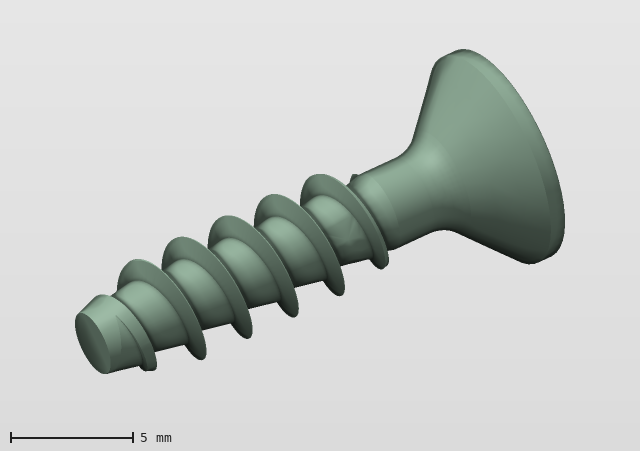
import cadquery as cq
import math


length = 20.0
head_radius = 9.3 / 2
rim_height = 0.72
rim_edge_radius = 0.07
neck_fillet_radius = 2.0
countersink_angle = math.radians(45)

shank_radius = 1.7
shank_end = 6.16
core_radius = 1.39
runout_length = 1.35

pitch = 2.24
first_crest_depth = 6.05
crest_radius = 2.5
crest_width = 0.04
crest_start_radius = 2.0
crest_full_depth = shank_end + 0.9 * pitch
tip_taper_start = 16.75
tip_radius = 1.36
head_flank_angle = math.radians(15)
tip_flank_angle = math.radians(20)
root_radius = 1.65
buried_radius = core_radius - 0.02
trim_radius = crest_radius + 0.2
turn_gap = 0.02


def revolved(outline):
    """Solid of revolution about Z from an open-ended (radius, depth) sketch."""
    return outline.close().revolve(360, (0, 0, 0), (0, 1, 0))


def head_and_shank():
    """Rim, 45 degree cone, neck fillet and plain shank."""
    cone_meets_shank = rim_height + (head_radius - shank_radius) / math.tan(countersink_angle)
    fillet_end = cone_meets_shank + neck_fillet_radius * math.tan(countersink_angle / 2)

    def fillet_point(angle):
        return (
            shank_radius + neck_fillet_radius * (1 - math.cos(angle)),
            fillet_end - neck_fillet_radius * math.sin(angle),
        )

    outline = (
        cq.Workplane("YZ")
        .lineTo(head_radius, 0)
        .lineTo(head_radius, rim_height)
        .lineTo(*fillet_point(countersink_angle))
        .threePointArc(fillet_point(countersink_angle / 2), fillet_point(0))
        .lineTo(shank_radius, shank_end)
        .lineTo(0, shank_end)
    )
    return revolved(outline).faces("<Z").edges().fillet(rim_edge_radius)


def core():
    """Run-out cone below the shank, then a straight core clipped by the tip taper."""
    outline = (
        cq.Workplane("YZ")
        .moveTo(0, shank_end)
        .lineTo(shank_radius, shank_end)
        .lineTo(core_radius, shank_end + runout_length)
        .lineTo(core_radius, length)
        .lineTo(0, length)
    )
    return revolved(outline)


def head_side_trim():
    """Everything above the shank end and outside the cone where the thread grows out."""
    growth = (crest_radius - crest_start_radius) / (crest_full_depth - shank_end)
    outline = (
        cq.Workplane("YZ")
        .lineTo(trim_radius, 0)
        .lineTo(trim_radius, shank_end + (trim_radius - crest_start_radius) / growth)
        .lineTo(crest_start_radius, shank_end)
        .lineTo(0, shank_end)
    )
    return revolved(outline)


def tip_side_trim():
    """Everything below the tip face and outside the cone where the thread fades away."""
    taper = (crest_radius - tip_radius) / (length - tip_taper_start)
    trim_end = length + 2 * pitch
    outline = (
        cq.Workplane("YZ")
        .moveTo(0, length)
        .lineTo(tip_radius, length)
        .lineTo(trim_radius, length - (trim_radius - tip_radius) / taper)
        .lineTo(trim_radius, trim_end)
        .lineTo(0, trim_end)
    )
    return revolved(outline)


def thread_sweep():
    """Ridge and the tapered root behind it, swept along a right-hand helix."""
    start = first_crest_depth - pitch / 2
    turns = math.ceil((length - start) / pitch) + 0.5
    half_crest = crest_width / 2
    head_base = -half_crest - (crest_radius - buried_radius) * math.tan(head_flank_angle)
    root_depth = half_crest + (crest_radius - root_radius) * math.tan(tip_flank_angle)
    root_end = head_base + pitch - turn_gap
    profile = (
        cq.Workplane("XZ", origin=(0, 0, start))
        .moveTo(buried_radius, head_base)
        .lineTo(crest_radius, -half_crest)
        .lineTo(crest_radius, half_crest)
        .lineTo(root_radius, root_depth)
        .lineTo(buried_radius, root_end)
        .close()
    )
    helix = cq.Wire.makeHelix(pitch, turns * pitch, core_radius, center=cq.Vector(0, 0, start))
    return profile.sweep(cq.Workplane(obj=helix), isFrenet=True)


thread = thread_sweep().cut(head_side_trim())
threaded_part = core().union(thread).cut(tip_side_trim())
screw = head_and_shank().union(threaded_part)
result = screw.rotate((0, 0, 0), (1, 0, 0), 90)